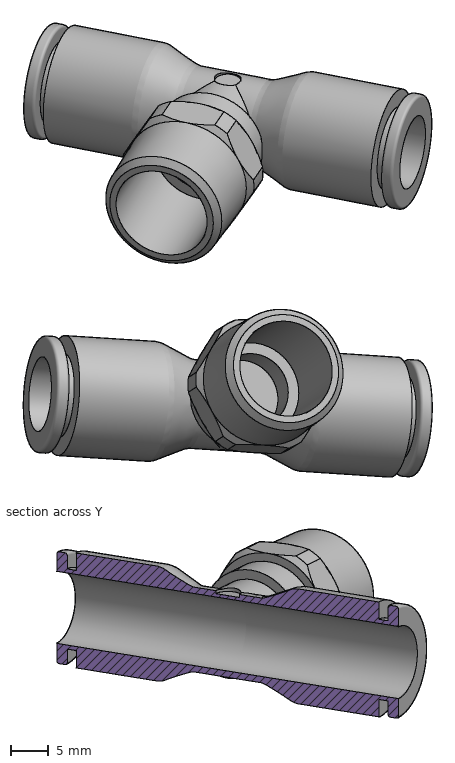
import cadquery as cq


run_half_length = 26.2
ring_width = 1.7
ring_radius = 7.8
ring_edge_round = 0.4
neck_width = 1.3
neck_radius = 5.6
socket_radius = 8.0
socket_inner_end = 10.25
waist_start = 5.45
waist_radius = 5.9
cone_blend_radius = 2.0
run_bore_radius = 5.0

ring_inner_face = run_half_length - ring_width
socket_outer_face = ring_inner_face - neck_width

branch_radius = 6.0
collar_start = 6.4
collar_radius = 7.35
hex_start = 10.95
hex_width = 5.1
hex_across_flats = 17.0
hex_corner_radius = 9.3
hex_chamfer = 0.8
hex_turn = 30
thread_large_radius = 8.5
thread_small_radius = 8.25
thread_tip_radius = 7.35
thread_tip_chamfer = 0.85
branch_end = 25.7

hex_end = hex_start + hex_width
thread_chamfer_start = branch_end - thread_tip_chamfer

branch_bore_radius = 6.45
branch_bore_end = hex_start
pocket_radius = 5.0
pocket_end = collar_start

badge_radius = 1.8
badge_depth = 0.4

match_tolerance = 0.005


def cylinder_along_branch(radius, start, end):
    """Cylinder on the branch axis between two distances from the run axis."""
    return cq.Workplane("XZ").workplane(offset=start).circle(radius).extrude(end - start)


def make_run():
    """Solid of revolution about X, mirrored about the middle of the tee, with rounded edges."""
    half_profile = [
        (waist_start, waist_radius),
        (socket_inner_end, socket_radius),
        (socket_outer_face, socket_radius),
        (socket_outer_face, neck_radius),
        (ring_inner_face, neck_radius),
        (ring_inner_face, ring_radius),
        (run_half_length, ring_radius),
        (run_half_length, 0),
    ]
    mirrored_profile = [(-x, radius) for x, radius in reversed(half_profile)]
    run = (
        cq.Workplane("XY")
        .polyline(mirrored_profile + half_profile)
        .close()
        .revolve(360, (0, 0, 0), (1, 0, 0))
    )
    cone_edges = run.edges("%CIRCLE").filter(
        lambda edge: any(
            abs(abs(edge.Center().x) - distance) < match_tolerance
            for distance in (waist_start, socket_inner_end)
        )
    )
    run = cone_edges.fillet(cone_blend_radius)
    ring_edges = run.edges("%CIRCLE").filter(
        lambda edge: abs(edge.radius() - ring_radius) < match_tolerance
    )
    return ring_edges.fillet(ring_edge_round)


def make_hexagon():
    """Hexagon with two corners along X, all corners turned down and chamfered."""
    hexagon = (
        cq.Workplane("XZ")
        .workplane(offset=hex_start)
        .polygon(6, hex_across_flats, circumscribed=True)
        .extrude(hex_width)
        .rotate((0, 0, 0), (0, 1, 0), hex_turn)
    )
    turned_blank = cylinder_along_branch(hex_corner_radius, hex_start, hex_end).edges().chamfer(hex_chamfer)
    return hexagon.intersect(turned_blank)


def make_thread():
    """Tapered thread envelope with a chamfered tip."""
    return (
        cq.Workplane("XY")
        .polyline([
            (0, -hex_end),
            (thread_large_radius, -hex_end),
            (thread_small_radius, -thread_chamfer_start),
            (thread_tip_radius, -branch_end),
            (0, -branch_end),
        ])
        .close()
        .revolve(360, (0, 0, 0), (0, 1, 0))
    )


def make_branch():
    """Solid branch from the run axis out to the thread tip."""
    return (
        cylinder_along_branch(branch_radius, 0, collar_start)
        .union(cylinder_along_branch(collar_radius, collar_start, hex_start))
        .union(make_hexagon())
        .union(make_thread())
    )


run_bore = cq.Workplane("YZ").circle(run_bore_radius).extrude(run_half_length, both=True)
branch_bore = cylinder_along_branch(branch_bore_radius, branch_bore_end, branch_end)
branch_pocket = cylinder_along_branch(pocket_radius, pocket_end, branch_end)
badge_recess = (
    cq.Workplane("XY")
    .workplane(offset=waist_radius - badge_depth)
    .circle(badge_radius)
    .extrude(2 * badge_depth)
)

result = (
    make_run()
    .union(make_branch())
    .cut(run_bore)
    .cut(branch_bore)
    .cut(branch_pocket)
    .cut(badge_recess)
)